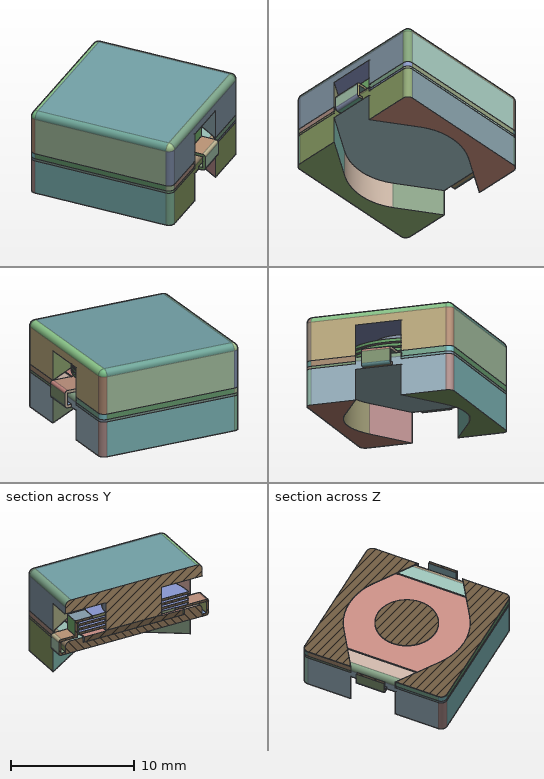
import cadquery as cq
import math

OVERALL_LENGTH = 14.0
BLOCK_SIDE = 12.8
BLOCK_HEIGHT = 7.57
EDGE_RADIUS = 0.53

FLOOR_BOTTOM = 2.6
LEG_TOP = 3.08
STRIP_TOP = 3.29
PLATE_TOP = 3.77
CAVITY_TOP = 6.37

WINDOW_WIDTH = 3.98
FLARE_ANGLE = 33.0
POST_DIAMETER = 5.2
SILL_INNER_X = 4.72
PLATE_GAP = 0.1

WIRE_WIDTH = 2.49
WIRE_THICKNESS = 0.25
WINDING_PITCH = 0.39
TURNS = 3.5
POST_CLEARANCE = 0.01
LEAD_TOP = 4.13
DROP_CLEARANCE = 0.14

HALF_BLOCK = BLOCK_SIDE / 2
HALF_LENGTH = OVERALL_LENGTH / 2
POST_RADIUS = POST_DIAMETER / 2
LEAD_BOTTOM = LEAD_TOP - WIRE_THICKNESS
FLARE = math.radians(FLARE_ANGLE)
WINDOW_MOUTH = WINDOW_WIDTH / 2
CAVITY_RADIUS = WINDOW_MOUTH * math.cos(FLARE) + HALF_BLOCK * math.sin(FLARE)
SILL_RADIUS = PLATE_TOP - STRIP_TOP
COIL_INNER_RADIUS = POST_RADIUS + POST_CLEARANCE
COIL_MID_RADIUS = COIL_INNER_RADIUS + WIRE_WIDTH / 2
COIL_OUTER_RADIUS = COIL_INNER_RADIUS + WIRE_WIDTH


def block_slice(bottom, top):
    """Slice of the square block with rounded vertical corners."""
    return (
        cq.Workplane("XY")
        .workplane(offset=bottom)
        .rect(BLOCK_SIDE, BLOCK_SIDE)
        .extrude(top - bottom)
        .edges("|Z")
        .fillet(EDGE_RADIUS)
    )


def winding_space(bottom, top):
    """Round cavity opened by a flared window through each X face."""
    throat_x = CAVITY_RADIUS * math.sin(FLARE)
    throat_y = CAVITY_RADIUS * math.cos(FLARE)
    return (
        cq.Workplane("XY")
        .workplane(offset=bottom)
        .moveTo(HALF_BLOCK, -WINDOW_MOUTH)
        .lineTo(HALF_BLOCK, WINDOW_MOUTH)
        .lineTo(throat_x, throat_y)
        .threePointArc((0, CAVITY_RADIUS), (-throat_x, throat_y))
        .lineTo(-HALF_BLOCK, WINDOW_MOUTH)
        .lineTo(-HALF_BLOCK, -WINDOW_MOUTH)
        .lineTo(-throat_x, -throat_y)
        .threePointArc((0, -CAVITY_RADIUS), (throat_x, -throat_y))
        .close()
        .extrude(top - bottom)
    )


def centre_band(half_length, bottom, top):
    """Box across the middle of the block, limited in X."""
    return (
        cq.Workplane("XY")
        .workplane(offset=bottom)
        .rect(2 * half_length, BLOCK_SIDE)
        .extrude(top - bottom)
    )


def make_upper_core():
    """Cap with a rounded rim, hollowed around a central post."""
    post = (
        cq.Workplane("XY")
        .workplane(offset=PLATE_TOP)
        .circle(POST_RADIUS)
        .extrude(CAVITY_TOP - PLATE_TOP)
    )
    return (
        block_slice(PLATE_TOP, BLOCK_HEIGHT)
        .faces(">Z")
        .edges()
        .fillet(EDGE_RADIUS)
        .cut(winding_space(PLATE_TOP, CAVITY_TOP).cut(post))
    )


def make_sills():
    """Raised lips of the floor in both windows, rounded towards the outside."""
    rounded_bar = (
        cq.Workplane("XY")
        .workplane(offset=STRIP_TOP)
        .rect(BLOCK_SIDE, BLOCK_SIDE)
        .extrude(SILL_RADIUS)
        .cut(centre_band(SILL_INNER_X, STRIP_TOP, PLATE_TOP))
    )
    arc_x = HALF_BLOCK - SILL_RADIUS
    for side in (-1, 1):
        arc_middle = (
            side * (arc_x + SILL_RADIUS * math.sin(math.pi / 4)),
            STRIP_TOP + SILL_RADIUS * math.cos(math.pi / 4),
        )
        corner = (
            cq.Workplane("XZ")
            .moveTo(side * HALF_BLOCK, STRIP_TOP)
            .threePointArc(arc_middle, (side * arc_x, PLATE_TOP))
            .lineTo(side * HALF_BLOCK, PLATE_TOP)
            .close()
            .extrude(HALF_BLOCK, both=True)
        )
        rounded_bar = rounded_bar.cut(corner)
    return rounded_bar.intersect(winding_space(STRIP_TOP, PLATE_TOP))


def make_lower_core():
    """Two legs joined by a floor that carries the window sills."""
    legs = block_slice(0, LEG_TOP).cut(winding_space(0, LEG_TOP))
    floor = winding_space(FLOOR_BOTTOM, STRIP_TOP)
    return legs.union(floor).union(make_sills())


def make_gap_plate():
    """Plate between the cores, with a notch for each window sill."""
    notch_zone = winding_space(STRIP_TOP, PLATE_TOP).cut(
        centre_band(SILL_INNER_X - PLATE_GAP, STRIP_TOP, PLATE_TOP)
    )
    return block_slice(STRIP_TOP, PLATE_TOP).cut(notch_zone)


def make_gap_strip(side):
    """Thin strip on top of one leg; side is -1 or 1 along Y."""
    strips = block_slice(LEG_TOP, STRIP_TOP).cut(winding_space(LEG_TOP, STRIP_TOP))
    half_space = (
        cq.Workplane("XY")
        .workplane(offset=LEG_TOP)
        .center(0, side * HALF_BLOCK / 2)
        .rect(BLOCK_SIDE, HALF_BLOCK)
        .extrude(STRIP_TOP - LEG_TOP)
    )
    return strips.intersect(half_space)


def lead_bar(x_start, x_end, bottom, top):
    """Straight piece of the flat wire, centred on Y."""
    return (
        cq.Workplane("XY")
        .box(x_end - x_start, WIRE_WIDTH, top - bottom, centered=(False, True, False))
        .translate((x_start, 0, bottom))
    )


def make_hook(side):
    """Terminal that bends down outside the block and back under to its face."""
    hook = lead_bar(HALF_BLOCK, HALF_LENGTH, FLOOR_BOTTOM, LEAD_TOP)
    hook = hook.edges(">X and |Y").fillet(WIRE_THICKNESS)
    opening = lead_bar(
        HALF_BLOCK, HALF_LENGTH - WIRE_THICKNESS, FLOOR_BOTTOM + WIRE_THICKNESS, LEAD_BOTTOM
    )
    hook = hook.cut(opening)
    return hook if side > 0 else hook.mirror("YZ")


def make_coil():
    """Edge-wound flat wire whose two ends form the terminals."""
    rise = TURNS * WINDING_PITCH
    path = cq.Wire.makeHelix(WINDING_PITCH, rise, COIL_MID_RADIUS)
    winding = (
        cq.Workplane("XZ", origin=(COIL_MID_RADIUS, 0, 0))
        .rect(WIRE_WIDTH, WIRE_THICKNESS)
        .sweep(cq.Workplane(path), isFrenet=True)
        .rotate((0, 0, 0), (0, 0, 1), 180)
        .translate((0, 0, LEAD_BOTTOM + WIRE_THICKNESS / 2))
    )
    lower_lead = lead_bar(-HALF_BLOCK, -COIL_MID_RADIUS, LEAD_BOTTOM, LEAD_TOP)
    drop_start = COIL_OUTER_RADIUS + DROP_CLEARANCE
    drop_end = drop_start + WIRE_THICKNESS
    upper_lead = lead_bar(COIL_MID_RADIUS, drop_end, LEAD_BOTTOM + rise, LEAD_TOP + rise)
    drop = lead_bar(drop_start, drop_end, LEAD_BOTTOM, LEAD_TOP + rise)
    outer_lead = lead_bar(drop_start, HALF_BLOCK, LEAD_BOTTOM, LEAD_TOP)
    coil = winding
    for piece in (lower_lead, upper_lead, drop, outer_lead, make_hook(-1), make_hook(1)):
        coil = coil.union(piece)
    return coil


upper_core = make_upper_core()
lower_core = make_lower_core()
gap_plate = make_gap_plate()
gap_strips = [make_gap_strip(side) for side in (-1, 1)]
coil = make_coil()

bodies = [upper_core, lower_core, gap_plate, *gap_strips, coil]
result = cq.Compound.makeCompound([body.solids().val() for body in bodies])